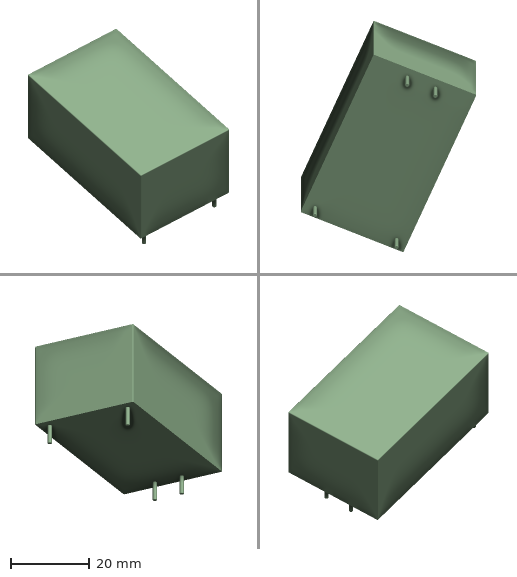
import cadquery as cq

case_length = 47.5
case_width = 28.5
case_height = 22.0
case_edge_radius = 0.25

pin_diameter = 1.1
pin_length = 5.0
pin_tip_radius = 0.15
pin_row_spacing = 42.5
narrow_pair_pitch = 7.8
wide_pair_pitch = 22.6


def make_case():
    """Block standing on Z = 0 with rounded vertical and top edges."""
    block = cq.Workplane("XY").box(
        case_length, case_width, case_height, centered=(True, True, False)
    )
    return block.edges("|Z or >Z").fillet(case_edge_radius)


def make_pin_pair(row_x, pitch):
    """Two pins hanging from the case floor, symmetric about Y = 0."""
    pins = (
        cq.Workplane("XY")
        .pushPoints([(row_x, -pitch / 2), (row_x, pitch / 2)])
        .circle(pin_diameter / 2)
        .extrude(-pin_length)
    )
    return pins.faces("<Z").edges().fillet(pin_tip_radius)


result = make_case()
for row_x, pitch in (
    (-pin_row_spacing / 2, narrow_pair_pitch),
    (pin_row_spacing / 2, wide_pair_pitch),
):
    result = result.union(make_pin_pair(row_x, pitch))